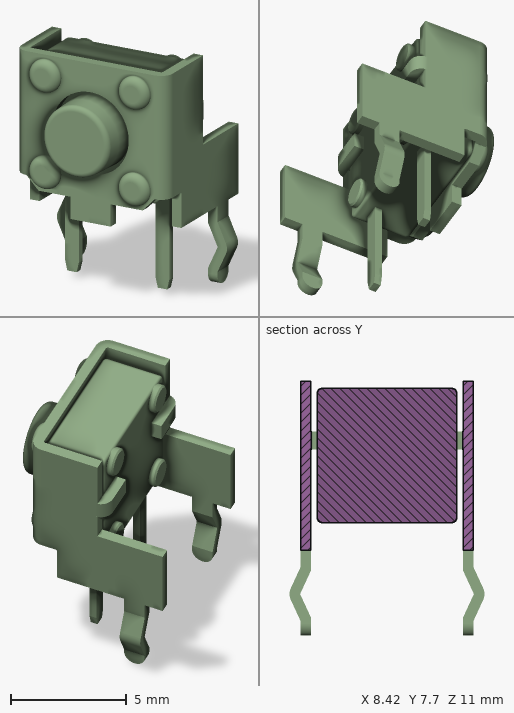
import cadquery as cq
import math


SHEET = 0.47
BEND_OUTER = 0.57
BEND_INNER = BEND_OUTER - SHEET
HALF_WIDTH = 3.74
INNER_HALF_WIDTH = HALF_WIDTH - SHEET
OVERALL_HEIGHT = 10.98
BRACKET_TOP = 3.22
SHELF_BOTTOM = -4.11

BEND_BOTTOM = -2.47
PLATE_BOTTOM = -3.09
PLATE_BOTTOM_HALF_WIDTH = 2.58
TONGUE_WIDTH = 2.0
BUTTON_HOLE_DIAMETER = 3.78

WALL_BACK = 3.26
SHELF_BACK = 6.36
SHELF_TOP = -0.88
NOTCH_BACK = 1.34
NOTCH_RADIUS = 0.05

TAB_TOP = 1.04
TAB_BOTTOM = 0.26
TAB_END_X = 1.83
TAB_BACK = WALL_BACK + SHEET

LEG_WIDTH = 0.98
LEG_CENTRE_Y = 5.02
LEG_BOTTOM = BRACKET_TOP - OVERALL_HEIGHT
KINK_START = -4.84
KINK_MIDDLE = -5.98
KINK_REACH = 0.53
KINK_RADIUS = 0.59

BODY_WIDTH = 6.07
BODY_HEIGHT = 5.84
BODY_CORNER_RADIUS = 0.25
BODY_FRONT_RADIUS = 0.2
BODY_BACK_RADIUS = 0.11
BODY_DEPTH = WALL_BACK - SHEET

RIVET_PITCH = 4.42
RIVET_CENTRE_Z = 0.05
HEAD_DIAMETER = 1.53
HEAD_HEIGHT = 0.35
HEAD_ROUNDING = 0.35
FOOT_DIAMETER = 1.26
FOOT_PITCH_X = 4.35
FOOT_HEIGHT = 0.3
FOOT_CHAMFER = 0.08

BUTTON_BASE_DIAMETER = 3.4
BUTTON_END_DIAMETER = 3.25
BUTTON_HEIGHT = 1.34
BUTTON_ROUNDING = 0.23

PIN_SPACING = 4.48
PIN_WIDTH = 0.68
PIN_TIP_WIDTH = 0.46
PIN_TAPER_TOP = -7.0
PIN_BOTTOM = -7.47
PIN_FRONT = 2.35
PIN_THICKNESS = 0.33


def extrude_x(sketch, start, end):
    """Extrude a YZ outline from x = start to x = end."""
    return sketch.extrude(end - start).translate((start, 0, 0))


def cylinder_y(x, z, diameter, start, end):
    """Cylinder along Y from y = start to y = end."""
    circle = cq.Workplane("XZ", origin=(x, start, z)).circle(diameter / 2)
    return circle.extrude(start - end)


def grid(pitch_x, pitch_z, centre_z):
    """The four corners of a rectangle in the XZ plane."""
    return [(i * pitch_x / 2, centre_z + k * pitch_z / 2) for i in (-1, 1) for k in (-1, 1)]


RIVET_PLACES = grid(RIVET_PITCH, RIVET_PITCH, RIVET_CENTRE_Z)
FOOT_PLACES = grid(FOOT_PITCH_X, RIVET_PITCH, RIVET_CENTRE_Z)


def make_channel():
    """U-shaped channel, open to the back, up to the full depth of the shelf."""
    height = BRACKET_TOP - SHELF_BOTTOM
    outside = (
        cq.Workplane("XY", origin=(0, 0, SHELF_BOTTOM))
        .moveTo(0, SHELF_BACK / 2)
        .rect(2 * HALF_WIDTH, SHELF_BACK)
        .extrude(height)
        .edges("|Z and <Y")
        .fillet(BEND_OUTER)
    )
    inside = (
        cq.Workplane("XY", origin=(0, SHEET, SHELF_BOTTOM))
        .moveTo(0, SHELF_BACK / 2)
        .rect(2 * INNER_HALF_WIDTH, SHELF_BACK)
        .extrude(height)
        .edges("|Z and <Y")
        .fillet(BEND_INNER)
    )
    return outside.cut(inside)


def make_side_envelope():
    """Side outline of the bracket through its whole width, without the notch under the bend."""
    outline = cq.Workplane("YZ").polyline(
        [
            (0, BRACKET_TOP),
            (WALL_BACK, BRACKET_TOP),
            (WALL_BACK, SHELF_TOP),
            (SHELF_BACK, SHELF_TOP),
            (SHELF_BACK, SHELF_BOTTOM),
            (0, SHELF_BOTTOM),
        ]
    ).close()
    return extrude_x(outline, -HALF_WIDTH, HALF_WIDTH)


def make_notches():
    """Clearance below the bends, between the front plate and the side walls."""
    plate_half_width = HALF_WIDTH - BEND_OUTER
    beside_plate = (
        cq.Workplane("XZ")
        .polyline(
            [
                (HALF_WIDTH, BEND_BOTTOM),
                (plate_half_width, BEND_BOTTOM),
                (PLATE_BOTTOM_HALF_WIDTH, PLATE_BOTTOM),
                (TONGUE_WIDTH / 2, PLATE_BOTTOM),
                (TONGUE_WIDTH / 2, SHELF_BOTTOM),
                (HALF_WIDTH, SHELF_BOTTOM),
            ]
        )
        .close()
        .extrude(-NOTCH_BACK)
        .edges("|X and >Y and >Z")
        .fillet(NOTCH_RADIUS)
    )
    return beside_plate.union(beside_plate.mirror("YZ"))


def make_clamp_tab():
    """Tab at +X, bent inwards from the back edge of the side wall."""
    bend_start = TAB_BACK - BEND_OUTER
    bend_x = HALF_WIDTH - BEND_OUTER
    bend_middle = math.sin(math.pi / 4)
    outline = (
        cq.Workplane("XY", origin=(0, 0, TAB_BOTTOM))
        .moveTo(HALF_WIDTH, bend_start)
        .threePointArc(
            (bend_x + bend_middle * BEND_OUTER, bend_start + bend_middle * BEND_OUTER),
            (bend_x, TAB_BACK),
        )
        .lineTo(TAB_END_X, TAB_BACK)
        .lineTo(TAB_END_X, WALL_BACK)
        .lineTo(bend_x, WALL_BACK)
        .threePointArc(
            (bend_x + bend_middle * BEND_INNER, bend_start + bend_middle * BEND_INNER),
            (INNER_HALF_WIDTH, bend_start),
        )
        .close()
    )
    return outline.extrude(TAB_TOP - TAB_BOTTOM)


def make_tab_relief():
    """The part of both side walls that the bends of the clamp tabs take up."""
    relief = cq.Workplane("XY").box(
        2 * HALF_WIDTH, SHEET, TAB_TOP - TAB_BOTTOM, centered=(True, False, False)
    )
    return relief.translate((0, TAB_BACK - BEND_OUTER, TAB_BOTTOM))


def make_leg():
    """Kinked leg at +X with a round lower end."""
    kink_drop = KINK_START - KINK_MIDDLE
    angle = math.atan2(KINK_REACH, kink_drop)
    mitre = SHEET * math.tan(angle / 2)
    kink_x = HALF_WIDTH + KINK_REACH
    kink_end = KINK_MIDDLE - kink_drop
    strip = (
        cq.Workplane("XZ", origin=(0, LEG_CENTRE_Y + LEG_WIDTH / 2, 0))
        .polyline(
            [
                (HALF_WIDTH, SHELF_BOTTOM),
                (HALF_WIDTH, KINK_START),
                (kink_x, KINK_MIDDLE),
                (HALF_WIDTH, kink_end),
                (HALF_WIDTH, LEG_BOTTOM),
                (INNER_HALF_WIDTH, LEG_BOTTOM),
                (INNER_HALF_WIDTH, kink_end + mitre),
                (kink_x - SHEET / math.cos(angle), KINK_MIDDLE),
                (INNER_HALF_WIDTH, KINK_START - mitre),
                (INNER_HALF_WIDTH, SHELF_BOTTOM),
            ]
        )
        .close()
        .extrude(LEG_WIDTH)
        .edges("|Y and >X")
        .fillet(KINK_RADIUS)
    )
    end_radius = LEG_WIDTH / 2
    front = LEG_CENTRE_Y - end_radius
    back = LEG_CENTRE_Y + end_radius
    round_end = (
        cq.Workplane("YZ")
        .moveTo(front, SHELF_BOTTOM)
        .lineTo(front, LEG_BOTTOM + end_radius)
        .threePointArc((LEG_CENTRE_Y, LEG_BOTTOM), (back, LEG_BOTTOM + end_radius))
        .lineTo(back, SHELF_BOTTOM)
        .close()
    )
    return strip.intersect(extrude_x(round_end, 0, HALF_WIDTH + KINK_REACH))


def make_bracket():
    """Folded sheet with its tabs and legs, and holes for the button and the rivets."""
    bracket = make_channel().intersect(make_side_envelope())
    bracket = bracket.cut(make_notches()).cut(make_tab_relief())
    for feature in (make_clamp_tab(), make_leg()):
        bracket = bracket.union(feature).union(feature.mirror("YZ"))
    bracket = bracket.cut(cylinder_y(0, 0, BUTTON_HOLE_DIAMETER, 0, SHEET))
    for x, z in RIVET_PLACES:
        bracket = bracket.cut(cylinder_y(x, z, HEAD_DIAMETER, 0, SHEET))
    return bracket


def make_body():
    """Rounded block between the front plate and the clamp tabs."""
    return (
        cq.Workplane("XY", origin=(0, SHEET, 0))
        .box(BODY_WIDTH, BODY_DEPTH, BODY_HEIGHT, centered=(True, False, True))
        .edges("|Y")
        .fillet(BODY_CORNER_RADIUS)
        .faces("<Y")
        .edges()
        .fillet(BODY_FRONT_RADIUS)
        .faces(">Y")
        .edges()
        .fillet(BODY_BACK_RADIUS)
    )


def make_rivet_head(x, z):
    """Domed head in front of the plate, with its shank through the plate."""
    head = cylinder_y(x, z, HEAD_DIAMETER, -HEAD_HEIGHT, SHEET)
    return head.faces("<Y").edges().fillet(HEAD_ROUNDING)


def make_rivet_foot(x, z):
    """Low chamfered stud on the back of the body."""
    foot = cylinder_y(x, z, FOOT_DIAMETER, WALL_BACK - BODY_BACK_RADIUS, WALL_BACK + FOOT_HEIGHT)
    return foot.faces(">Y").edges().chamfer(FOOT_CHAMFER)


def make_button():
    """Slightly tapered button with a rounded end."""
    return (
        cq.Workplane("XZ", origin=(0, SHEET, 0))
        .circle(BUTTON_BASE_DIAMETER / 2)
        .workplane(offset=SHEET + BUTTON_HEIGHT)
        .circle(BUTTON_END_DIAMETER / 2)
        .loft()
        .faces("<Y")
        .edges()
        .fillet(BUTTON_ROUNDING)
    )


def make_pin(x):
    """Flat contact pin with a tapered tip."""
    half = PIN_WIDTH / 2
    tip = PIN_TIP_WIDTH / 2
    root = -BODY_HEIGHT / 2 + BODY_CORNER_RADIUS
    return (
        cq.Workplane("XZ", origin=(x, PIN_FRONT, 0))
        .polyline(
            [
                (-half, root),
                (-half, PIN_TAPER_TOP),
                (-tip, PIN_BOTTOM),
                (tip, PIN_BOTTOM),
                (half, PIN_TAPER_TOP),
                (half, root),
            ]
        )
        .close()
        .extrude(-PIN_THICKNESS)
    )


def make_switch():
    """Body, button, rivets and pins as one solid."""
    switch = make_body().union(make_button())
    for x, z in RIVET_PLACES:
        switch = switch.union(make_rivet_head(x, z))
    for x, z in FOOT_PLACES:
        switch = switch.union(make_rivet_foot(x, z))
    for side in (-1, 1):
        switch = switch.union(make_pin(side * PIN_SPACING / 2))
    return switch


bracket = make_bracket()
switch = make_switch()

result = cq.Compound.makeCompound([bracket.solids().val(), switch.solids().val()])